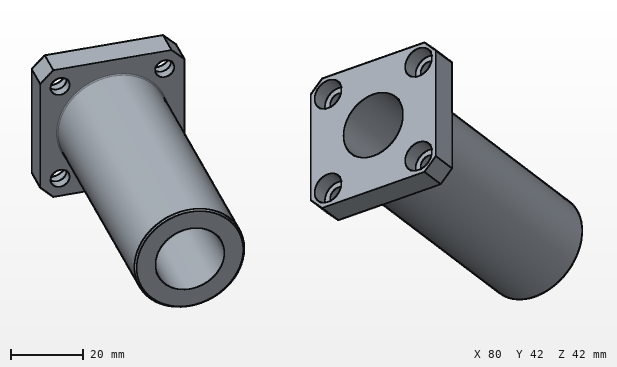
import cadquery as cq
import math

total_length = 80.0
flange_width = 42.0
flange_thickness = 8.0
flange_across_corners = 54.0
flange_corner_chamfer = flange_width - flange_across_corners / math.sqrt(2)

sleeve_diameter = 32.0
bore_diameter = 20.0
sleeve_end_chamfer = 0.5
root_fillet_radius = 0.3

bolt_circle_diameter = 43.0
hole_count = 4
first_hole_angle = 45.0
full_turn = 360.0
hole_diameter = 5.5
counterbore_diameter = 9.0
counterbore_depth = 5.1


def make_flange():
    """Square plate on the YZ plane with its four corners cut off."""
    plate = cq.Workplane("YZ").rect(flange_width, flange_width).extrude(flange_thickness)
    return plate.edges("|X").chamfer(flange_corner_chamfer)


def make_sleeve():
    """Cylinder along X with a small chamfer around its free end."""
    cylinder = cq.Workplane("YZ").circle(sleeve_diameter / 2).extrude(total_length)
    return cylinder.faces(">X").edges().chamfer(sleeve_end_chamfer)


def make_bore():
    """Through bore along the sleeve axis."""
    return cq.Workplane("YZ").circle(bore_diameter / 2).extrude(total_length)


def make_mounting_holes():
    """Through holes with counterbores sunk from the outer flange face (X = 0)."""
    def hole_centers():
        bolt_circle_radius = bolt_circle_diameter / 2
        return cq.Workplane("YZ").polarArray(bolt_circle_radius, first_hole_angle, full_turn, hole_count)

    through_holes = hole_centers().circle(hole_diameter / 2).extrude(flange_thickness)
    counterbores = hole_centers().circle(counterbore_diameter / 2).extrude(counterbore_depth)
    return through_holes.union(counterbores)


def fillet_sleeve_root(body):
    """Round the inside corner where the sleeve meets the back of the flange."""
    root_edge = cq.selectors.NearestToPointSelector((flange_thickness, 0, 0))
    return body.edges("%CIRCLE").edges(root_edge).fillet(root_fillet_radius)


body = fillet_sleeve_root(make_flange().union(make_sleeve()))
result = body.cut(make_bore()).cut(make_mounting_holes())